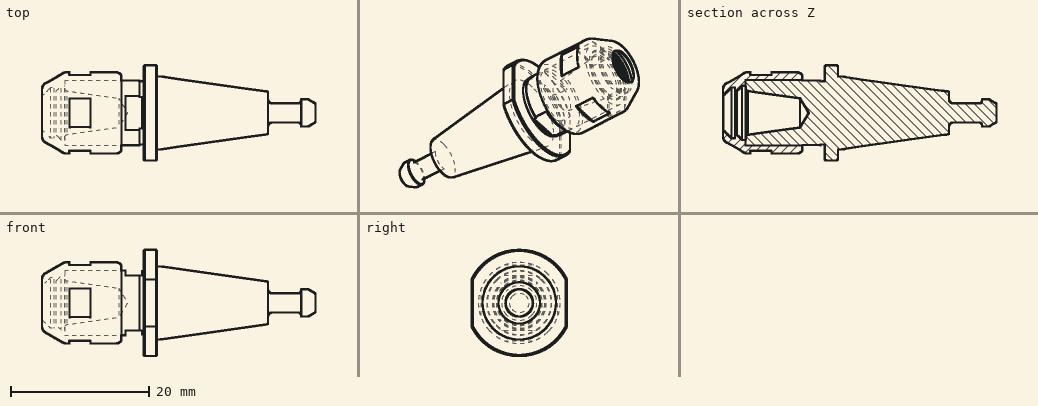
import cadquery as cq
import math


NUT_LENGTH = 11.5
NUT_RADIUS = 5.9
NOSE_FACE_RADIUS = 3.43
NOSE_ANGLE = math.radians(30)
NOSE_ROUND = 1.0
NUT_BACK_ROUND = 1.0
NUT_BACK_ROUND_LENGTH = 0.84
WRENCH_START = 3.98
WRENCH_LENGTH = 3.02
WRENCH_RADIUS = 5.87
WRENCH_STEP_LENGTH = 0.22
WRENCH_ACROSS_FLATS = 11.0

MOUTH_RADIUS = 2.53
MOUTH_DEPTH = 0.1
POCKET_RADIUS = 3.66
POCKET_END = 1.71
RING_RADIUS = 3.2
RING_WIDTH = 0.36
RELIEF_RADIUS = 3.9
SHOULDER_RADIUS = 3.77
INNER_CONE_SLOPE = math.tan(math.radians(45))
SHOULDER_SLOPE = math.tan(math.radians(60))

HOLDER_START = 3.32
NECK_RADIUS = 4.7
BORE_MOUTH_RADIUS = 3.32
BORE_TAPER_RADIUS = 3.16
BORE_END_RADIUS = 2.1
BORE_CHAMFER_SLOPE = math.tan(math.radians(30))
BORE_SLOPE = math.tan(math.radians(8))
DRILL_POINT_SLOPE = math.tan(math.radians(59))

UNDERCUT_START = 14.1
UNDERCUT_RADIUS = 4.6
NECK_FLAT_START = 12.1
NECK_FLAT_END = 14.5
NECK_ACROSS_FLATS = 8.0

FLANGE_START = 14.7
FLANGE_LENGTH = 1.95
FLANGE_RADIUS = 7.7
FLANGE_ACROSS_FLATS = 13.8
FLANGE_CHAMFER = 0.18

TAPER_RADIUS = 5.3
TAPER_START = 17.2
TAPER_END = 32.7
TAPER_END_RADIUS = 3.15
TAPER_END_ROUND = 0.5
TAPER_END_ROUND_LENGTH = 0.36

STUD_NECK_RADIUS = 1.4
STUD_ROOT_ROUND = 0.6
HEAD_START = 37.44
HEAD_RADIUS = 2.0
HEAD_ROOT_ROUND = 0.34
HEAD_CHAMFER = 0.08
HEAD_ROUND = 0.2
HEAD_CONE_START = 38.53
HEAD_CONE_ANGLE = math.radians(30)
HEAD_TIP_ROUND = 0.3
TOTAL_LENGTH = 39.57


def turned(profile):
    """Revolve a closed half section about the X axis."""
    return profile.close().revolve(360, (0, 0, 0), (1, 0, 0))


def round_drop(radius, length):
    """How far an arc that leaves a straight side tangentially falls away over a length."""
    return radius - math.sqrt(radius**2 - length**2)


def nut_blank():
    """The nut before its wrench flats are milled."""
    cone_start = NOSE_ROUND * (1 - math.sin(NOSE_ANGLE))
    cone_start_radius = NOSE_FACE_RADIUS + NOSE_ROUND * math.cos(NOSE_ANGLE)
    cone_end_radius = NUT_RADIUS - NOSE_ROUND * (1 - math.cos(NOSE_ANGLE))
    cone_end = cone_start + (cone_end_radius - cone_start_radius) / math.tan(NOSE_ANGLE)
    nose_end = cone_end + NOSE_ROUND * math.sin(NOSE_ANGLE)
    wrench_end = WRENCH_START + WRENCH_LENGTH
    half_step = WRENCH_STEP_LENGTH / 2
    back_round_drop = round_drop(NUT_BACK_ROUND, NUT_BACK_ROUND_LENGTH)

    pocket_start = MOUTH_DEPTH + (POCKET_RADIUS - MOUTH_RADIUS) / INNER_CONE_SLOPE
    ring_end = POCKET_END + RING_WIDTH
    relief_start = ring_end + (RELIEF_RADIUS - RING_RADIUS) / INNER_CONE_SLOPE
    shoulder_start = HOLDER_START - (RELIEF_RADIUS - SHOULDER_RADIUS) / SHOULDER_SLOPE

    outside = (
        cq.Workplane("XZ")
        .moveTo(0, MOUTH_RADIUS)
        .lineTo(0, NOSE_FACE_RADIUS)
        .radiusArc((cone_start, cone_start_radius), NOSE_ROUND)
        .lineTo(cone_end, cone_end_radius)
        .radiusArc((nose_end, NUT_RADIUS), NOSE_ROUND)
        .lineTo(WRENCH_START - half_step, NUT_RADIUS)
        .lineTo(WRENCH_START + half_step, WRENCH_RADIUS)
        .lineTo(wrench_end - half_step, WRENCH_RADIUS)
        .lineTo(wrench_end + half_step, NUT_RADIUS)
        .lineTo(NUT_LENGTH - NUT_BACK_ROUND_LENGTH, NUT_RADIUS)
        .radiusArc((NUT_LENGTH, NUT_RADIUS - back_round_drop), NUT_BACK_ROUND)
    )
    profile = (
        outside
        .lineTo(NUT_LENGTH, NECK_RADIUS)
        .lineTo(HOLDER_START, NECK_RADIUS)
        .lineTo(HOLDER_START, SHOULDER_RADIUS)
        .lineTo(shoulder_start, RELIEF_RADIUS)
        .lineTo(relief_start, RELIEF_RADIUS)
        .lineTo(ring_end, RING_RADIUS)
        .lineTo(POCKET_END, RING_RADIUS)
        .lineTo(POCKET_END, POCKET_RADIUS)
        .lineTo(pocket_start, POCKET_RADIUS)
        .lineTo(MOUTH_DEPTH, MOUTH_RADIUS)
    )
    return turned(profile)


def wrench_flat_cutter():
    """The material milled off around the nut to leave four flats."""
    return (
        cq.Workplane("YZ", origin=(WRENCH_START, 0, 0))
        .circle(2 * NUT_RADIUS)
        .rect(WRENCH_ACROSS_FLATS, WRENCH_ACROSS_FLATS)
        .extrude(WRENCH_LENGTH)
    )


def make_nut():
    return nut_blank().cut(wrench_flat_cutter())


def holder_core():
    """Nose, neck, taper and pull stud in one turned profile, with the blind collet bore."""
    bore_taper_start = HOLDER_START + (BORE_MOUTH_RADIUS - BORE_TAPER_RADIUS) / BORE_CHAMFER_SLOPE
    bore_end = bore_taper_start + (BORE_TAPER_RADIUS - BORE_END_RADIUS) / BORE_SLOPE
    bore_tip = bore_end + BORE_END_RADIUS / DRILL_POINT_SLOPE

    taper_round_start = TAPER_END - TAPER_END_ROUND_LENGTH
    taper_face_radius = TAPER_END_RADIUS - round_drop(TAPER_END_ROUND, TAPER_END_ROUND_LENGTH)

    head_round_start = HEAD_CONE_START - HEAD_ROUND * math.sin(HEAD_CONE_ANGLE)
    head_cone_radius = HEAD_RADIUS - HEAD_ROUND * (1 - math.cos(HEAD_CONE_ANGLE))
    tip_round_start = TOTAL_LENGTH - HEAD_TIP_ROUND * (1 - math.sin(HEAD_CONE_ANGLE))
    tip_round_radius = head_cone_radius - (tip_round_start - HEAD_CONE_START) * math.tan(HEAD_CONE_ANGLE)
    tip_face_radius = tip_round_radius - HEAD_TIP_ROUND * math.cos(HEAD_CONE_ANGLE)

    flange_middle = FLANGE_START + FLANGE_LENGTH / 2

    nose_to_taper = (
        cq.Workplane("XZ")
        .moveTo(bore_tip, 0)
        .lineTo(bore_end, BORE_END_RADIUS)
        .lineTo(bore_taper_start, BORE_TAPER_RADIUS)
        .lineTo(HOLDER_START, BORE_MOUTH_RADIUS)
        .lineTo(HOLDER_START, NECK_RADIUS)
        .lineTo(UNDERCUT_START, NECK_RADIUS)
        .lineTo(UNDERCUT_START, UNDERCUT_RADIUS)
        .lineTo(flange_middle, UNDERCUT_RADIUS)
        .lineTo(flange_middle, TAPER_RADIUS)
        .lineTo(TAPER_START, TAPER_RADIUS)
        .lineTo(taper_round_start, TAPER_END_RADIUS)
        .radiusArc((TAPER_END, taper_face_radius), TAPER_END_ROUND)
    )
    profile = (
        nose_to_taper
        .lineTo(TAPER_END, STUD_NECK_RADIUS + STUD_ROOT_ROUND)
        .radiusArc((TAPER_END + STUD_ROOT_ROUND, STUD_NECK_RADIUS), -STUD_ROOT_ROUND)
        .lineTo(HEAD_START - HEAD_ROOT_ROUND, STUD_NECK_RADIUS)
        .radiusArc((HEAD_START, STUD_NECK_RADIUS + HEAD_ROOT_ROUND), -HEAD_ROOT_ROUND)
        .lineTo(HEAD_START, HEAD_RADIUS - HEAD_CHAMFER)
        .lineTo(HEAD_START + HEAD_CHAMFER, HEAD_RADIUS)
        .lineTo(head_round_start, HEAD_RADIUS)
        .radiusArc((HEAD_CONE_START, head_cone_radius), HEAD_ROUND)
        .lineTo(tip_round_start, tip_round_radius)
        .radiusArc((TOTAL_LENGTH, tip_face_radius), HEAD_TIP_ROUND)
        .lineTo(TOTAL_LENGTH, 0)
    )
    return turned(profile)


def flange():
    """A disc with two side flats, chamfered all round, open in the middle for the core."""
    plane = cq.Workplane("YZ", origin=(FLANGE_START, 0, 0))
    disc = plane.circle(FLANGE_RADIUS).extrude(FLANGE_LENGTH)
    band = plane.rect(FLANGE_ACROSS_FLATS, 2 * FLANGE_RADIUS).extrude(FLANGE_LENGTH)
    solid_flange = disc.intersect(band).faces("<X or >X").chamfer(FLANGE_CHAMFER)
    return solid_flange.cut(plane.circle(UNDERCUT_RADIUS).extrude(FLANGE_LENGTH))


def neck_flat_cutter():
    """The material milled off above and below the neck to leave two flats."""
    length = NECK_FLAT_END - NECK_FLAT_START
    plane = cq.Workplane("YZ", origin=(NECK_FLAT_START, 0, 0))
    around = plane.circle(2 * NECK_RADIUS).extrude(length)
    return around.cut(plane.rect(4 * NECK_RADIUS, NECK_ACROSS_FLATS).extrude(length))


def make_holder():
    return holder_core().union(flange()).cut(neck_flat_cutter())


nut = make_nut()
holder = make_holder()
result = cq.Compound.makeCompound([nut.val(), holder.val()])